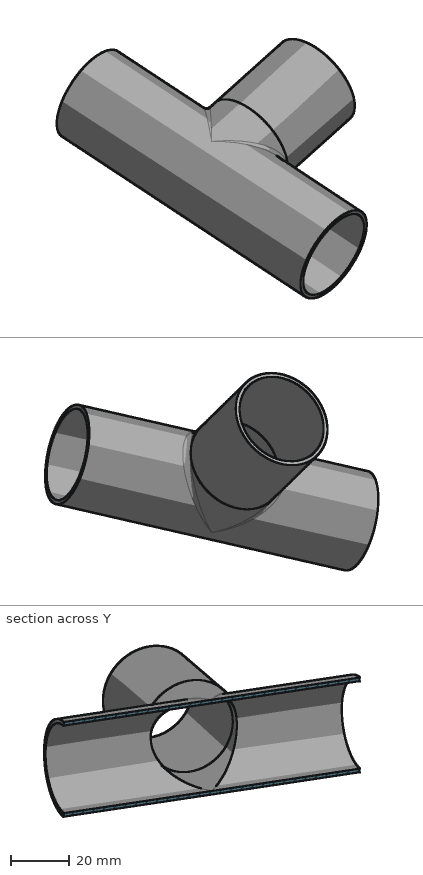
import cadquery as cq

run_length = 110.0
outer_diameter = 35.0
bore_diameter = 32.0
branch_reach = 55.0
collar_reach = 19.6
crotch_radius = 2.0

outer_radius = outer_diameter / 2
bore_radius = bore_diameter / 2
half_run = run_length / 2


def run_cylinder(radius, start, end):
    """Solid cylinder along X between two X positions."""
    return cq.Workplane("YZ", origin=(start, 0, 0)).circle(radius).extrude(end - start)


def branch_cylinder(radius, start, end):
    """Solid cylinder along +Y between two distances from the run axis."""
    return cq.Workplane("XZ", origin=(0, start, 0)).circle(radius).extrude(start - end)


def filleted_crotch():
    """The +X, +Y quarter of the outer shape, with its mitred crotch edge filleted.

    The crotch flattens out at the top and bottom of the pipes, so each side is filleted
    on its own, where the edge ends on plane faces.
    """
    quadrant = (
        cq.Workplane("XY")
        .rect(run_length, run_length)
        .extrude(outer_diameter, both=True)
        .translate((half_run, half_run, 0))
    )
    return (
        run_cylinder(outer_radius, 0, half_run)
        .union(branch_cylinder(outer_radius, 0, branch_reach))
        .intersect(quadrant)
        .edges("%ELLIPSE")
        .fillet(crotch_radius)
    )


def beyond_joint():
    """Block that covers everything past the joint plane."""
    depth = branch_reach - collar_reach
    return (
        cq.Workplane("XZ", origin=(0, collar_reach, 0))
        .rect(run_length, run_length)
        .extrude(-depth)
    )


def make_tee():
    """Run pipe with a short branch collar, filleted at the crotch and bored through."""
    crotch = filleted_crotch().cut(beyond_joint())
    return (
        run_cylinder(outer_radius, -half_run, half_run)
        .union(crotch)
        .union(crotch.mirror("YZ"))
        .cut(run_cylinder(bore_radius, -half_run, half_run))
        .cut(branch_cylinder(bore_radius, 0, collar_reach))
    )


def make_branch_pipe():
    """Straight pipe that continues the collar from the joint to the open end."""
    return branch_cylinder(outer_radius, collar_reach, branch_reach).cut(
        branch_cylinder(bore_radius, collar_reach, branch_reach)
    )


tee = make_tee()
branch_pipe = make_branch_pipe()

result = cq.Compound.makeCompound([tee.solids().val(), branch_pipe.solids().val()])